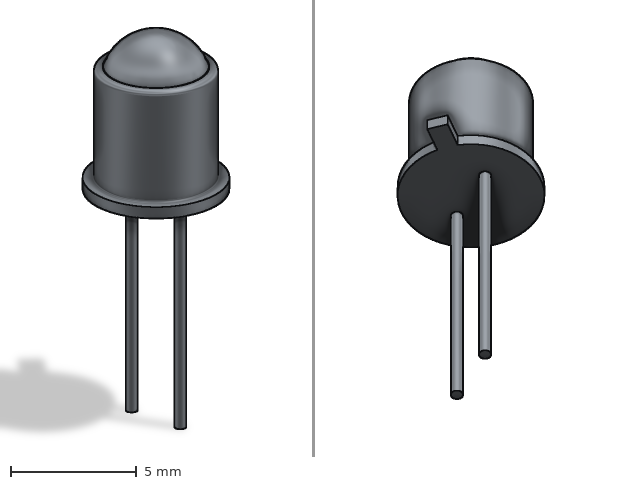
import cadquery as cq
import math

total_height = 16.8
lead_length = 10.0
flange_thickness = 0.5
can_top = 15.32
flange_top = lead_length + flange_thickness

flange_diameter = 5.85
can_diameter = 4.95
can_top_round = 0.2
can_foot_fillet = 0.1

tab_width = 0.85
tab_reach = 4.13
tab_angle = 135.0

lead_diameter = 0.49
lead_spacing = 2.54

lens_diameter = 4.2
recess_diameter = 4.25
recess_floor = flange_top
dome_height = total_height - can_top


def make_can():
    """Round can with a rounded rim, standing on a flange."""
    flange = (
        cq.Workplane("XY")
        .workplane(offset=lead_length)
        .circle(flange_diameter / 2)
        .extrude(flange_thickness)
    )
    barrel = (
        cq.Workplane("XY")
        .workplane(offset=flange_top)
        .circle(can_diameter / 2)
        .extrude(can_top - flange_top)
        .faces(">Z")
        .edges()
        .fillet(can_top_round)
    )
    can_radius = can_diameter / 2
    foot_radius = can_radius + can_foot_fillet
    arc_offset = can_foot_fillet * (1 - math.sqrt(0.5))
    foot = (
        cq.Workplane("XZ")
        .moveTo(0, flange_top)
        .lineTo(foot_radius, flange_top)
        .threePointArc(
            (can_radius + arc_offset, flange_top + arc_offset),
            (can_radius, flange_top + can_foot_fillet),
        )
        .lineTo(0, flange_top + can_foot_fillet)
        .close()
        .revolve(360, (0, 0, 0), (0, 1, 0))
    )
    return flange.union(barrel).union(foot)


def make_tab():
    """Flat index tab, running from the can axis out past the flange."""
    return (
        cq.Workplane("XY")
        .box(tab_reach, tab_width, flange_thickness, centered=(False, True, False))
        .rotate((0, 0, 0), (0, 0, 1), tab_angle)
        .translate((0, 0, lead_length))
    )


def make_leads():
    """Two straight leads below the flange."""
    lead_places = [(-lead_spacing / 2, 0), (lead_spacing / 2, 0)]
    return cq.Workplane("XY").pushPoints(lead_places).circle(lead_diameter / 2).extrude(lead_length)


def make_housing():
    """Can, tab and leads in one piece, with the lens recess open at the top."""
    recess = (
        cq.Workplane("XY")
        .workplane(offset=recess_floor)
        .circle(recess_diameter / 2)
        .extrude(can_top - recess_floor)
    )
    return make_can().union(make_tab()).union(make_leads()).cut(recess)


def make_lens():
    """Cylinder standing on the recess floor, with a spherical cap above the can."""
    lens_radius = lens_diameter / 2
    dome_radius = (lens_radius**2 + dome_height**2) / (2 * dome_height)
    dome_center = total_height - dome_radius
    half_dome_angle = math.asin(lens_radius / dome_radius) / 2
    dome_middle = (
        dome_radius * math.sin(half_dome_angle),
        dome_center + dome_radius * math.cos(half_dome_angle),
    )
    return (
        cq.Workplane("XZ")
        .moveTo(0, recess_floor)
        .lineTo(lens_radius, recess_floor)
        .lineTo(lens_radius, can_top)
        .threePointArc(dome_middle, (0, total_height))
        .close()
        .revolve(360, (0, 0, 0), (0, 1, 0))
    )


housing = make_housing()
lens = make_lens()

result = cq.Compound.makeCompound([housing.val(), lens.val()])